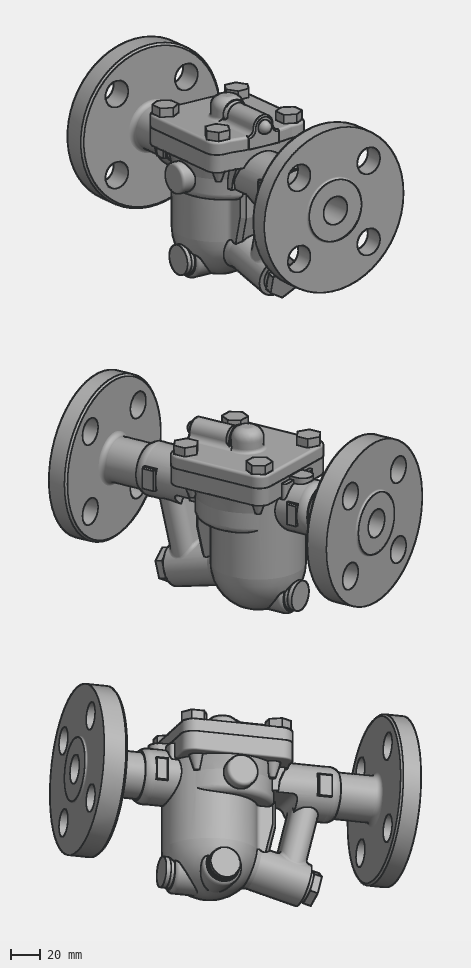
import math

import cadquery as cq

diagonal = math.sqrt(0.5)
selection_margin = 1.0

face_to_face = 230.0
flange_hole_start_angle = 45.0
raised_face_height = 1.7
raised_face_radius = 22.0
raised_face_blend = 1.5
flange_radius = 117.0 / 2
inlet_flange_thickness = 17.0
outlet_flange_thickness = 14.3
flange_edge_chamfer = 1.5
flange_hole_diameter = 19.0
flange_hole_count = 4
bolt_circle_radius = 82.6 / 2
pipe_radius = 16.0
hub_blend = 3.0
hub_length = 4.2
socket_radius = 19.0
socket_mouth = 69.8
socket_round_length = 7.1
socket_lip = 1.2
bore_diameter = 20.0
bore_depth = 45.0

pad_reach = 20.2
pad_height = 15.6
pad_z = 0.5
inlet_pad_x = (-62.7, -54.6)
outlet_pad_x = (52.6, 62.5)
pad_round = 1.0
top_pad_width = 14.0
top_pad_corner_radius = 6.5
top_pad_tip_x = -61.8
top_pad_top_z = 22.3

bowl_x = -18.5
bowl_radius = 32.5
overall_height = 140.58
bowl_dome_z = flange_radius - overall_height + bowl_radius

cover_x = -9.5
cover_length_x = 79.4
cover_length_y = 80.0
cover_corner_radius = 8.8
cover_top_z = 32.0
joint_z = 22.7
body_flange_bottom_z = 9.5
cover_top_round = 2.0
flange_bottom_round = 1.2
bulge_tip_x = 33.0
bulge_half_width = 25.5
joint_step = 0.15

inlet_neck_x = -52.3
inlet_neck_half_width = 17.0
inlet_neck_z = (7.0, 20.0)
inlet_neck_round = 2.0
outlet_neck_half_width = 20.5
outlet_neck_top_x = 29.3
outlet_neck_waist_x = 25.0
outlet_neck_waist_z = 0.0
outlet_neck_foot_x = 23.8

collar_x = -11.5
collar_radius = 37.0
collar_left_x = -37.6
collar_flare_z = -1.0
collar_flare_radius = 39.0
collar_bottom_z = -17.0
collar_bottom_round = 4.8

bolt_pitch_half = 30.0
bolt_across_flats = 15.6
bolt_head_top_z = 38.4
bolt_turn = 30.0
lug_pitch_half = 27.0
lug_top_radius = 5.5
lug_tip_radius = 2.0

cap_radius = 11.2
cap_top_z = 47.6
cap_round_start_z = 39.2
cap_flat_radius = 4.3
cap_foot_blend = 2.4
tunnel_radius = 8.2
tunnel_z = 36.8
tunnel_end_x = 33.0
tunnel_foot_blend = 4.5
tunnel_end_chamfer = 1.2
tunnel_root_radius = 9.6
tunnel_root_x = (-1.0, 2.2)
nub_radius = 5.0
nub_tip_x = 38.3

rib_half_width = 12.5
rib_x = 25.4
rib_break_z = -29.5
rib_edge_chamfer = 3.0
rib_root_fillet = 4.0

strainer_angle = 14.0
strainer_radius = 15.0
strainer_length = 69.0
strainer_root_start = 27.0
strainer_root_end = 32.0
strainer_root_radius = 16.5
plug_neck_radius = 11.0
plug_neck_length = 3.0
plug_head_length = 5.6
plug_across_flats = 21.5
riser_along_strainer = 56.4
riser_length = 58.0
riser_width = 18.8
riser_depth = 25.0
riser_corner_radius = 8.6
riser_blend = 2.5

gap_top_z = -7.4
gap_end_x = 39.0
gap_round = 4.0

test_port_z = -3.4
test_port_radius = 11.0
test_port_end_y = -45.1
test_port_round = 2.2

drain_z = -66.8
drain_boss_radius = 14.0
drain_boss_straight = 24.3
drain_boss_end = 28.4
drain_boss_blend = 2.2
drain_neck_radius = 10.7
drain_neck_end = 31.0
drain_plug_radius = 10.6
drain_plug_end = 34.4


def box_between(x_range, y_range, z_range):
    """Box given by its limits along each axis."""
    size = [high - low for low, high in (x_range, y_range, z_range)]
    corner = (x_range[0], y_range[0], z_range[0])
    return cq.Workplane("XY").box(*size, centered=False).translate(corner)


def hexagon(across_flats, height):
    """Upright hexagonal prism with two corners on the X axis."""
    across_corners = across_flats / math.cos(math.radians(30))
    return cq.Workplane("XY").polygon(6, across_corners).extrude(height)


def cone(base_radius, tip_radius, height):
    """Upright truncated cone standing on the XY plane."""
    return cq.Workplane(obj=cq.Solid.makeCone(base_radius, tip_radius, height))


def pipe_end(direction, flange_thickness):
    """Flange, hub, pipe and socket of one side; direction is -1 (inlet) or +1 (outlet)."""
    face = face_to_face / 2
    front = face - raised_face_height
    back = front - flange_thickness
    round_height = socket_radius - pipe_radius - socket_lip
    profile = (
        cq.Workplane("XY")
        .moveTo(0, 0)
        .lineTo(face, 0)
        .lineTo(face, raised_face_radius)
        .threePointArc(
            (front + raised_face_blend * (1 - diagonal),
             raised_face_radius + raised_face_blend * (1 - diagonal)),
            (front, raised_face_radius + raised_face_blend),
        )
        .lineTo(front, flange_radius)
        .lineTo(back + flange_edge_chamfer, flange_radius)
        .lineTo(back, flange_radius - flange_edge_chamfer)
        .lineTo(back, pipe_radius + hub_blend)
        .threePointArc(
            (back - hub_length * (1 - diagonal), pipe_radius + hub_blend * (1 - diagonal)),
            (back - hub_length, pipe_radius),
        )
        .lineTo(socket_mouth, pipe_radius)
        .lineTo(socket_mouth, pipe_radius + socket_lip)
        .threePointArc(
            (socket_mouth - socket_round_length * (1 - diagonal),
             pipe_radius + socket_lip + round_height * diagonal),
            (socket_mouth - socket_round_length, socket_radius),
        )
        .lineTo(0, socket_radius)
        .close()
    )
    solid = profile.revolve(360, (0, 0, 0), (1, 0, 0))
    holes = (
        cq.Workplane("YZ", origin=(back, 0, 0))
        .polarArray(bolt_circle_radius, flange_hole_start_angle, 360, flange_hole_count)
        .circle(flange_hole_diameter / 2)
        .extrude(face - back)
    )
    solid = solid.cut(holes)
    return solid if direction > 0 else solid.mirror("YZ")


def bores():
    """Blind bores entering both flange faces."""
    end = face_to_face / 2
    inlet = cq.Workplane("YZ", origin=(-end, 0, 0)).circle(bore_diameter / 2).extrude(bore_depth)
    return inlet.union(inlet.mirror("YZ"))


def outlet_gap():
    """Open space between the bowl, the outlet neck and the riser."""
    gap = box_between(
        (bowl_x, gap_end_x),
        (-socket_radius, socket_radius),
        (-2 * socket_radius, gap_top_z),
    )
    return gap.edges("|Y and >X and >Z").fillet(gap_round)


def socket_pads():
    """Rectangular flats on both sides of each socket and the round-ended pad on the inlet."""
    z_range = (pad_z - pad_height / 2, pad_z + pad_height / 2)
    pads = box_between(inlet_pad_x, (-pad_reach, pad_reach), z_range)
    pads = pads.edges("(>X and |Z) or (>Z and |X)").chamfer(pad_round)
    outlet = box_between(outlet_pad_x, (-pad_reach, pad_reach), z_range)
    pads = pads.union(outlet.edges("(<X and |Z) or (>Z and |X)").chamfer(pad_round))
    top_pad = box_between(
        (top_pad_tip_x, bowl_x), (-top_pad_width / 2, top_pad_width / 2), (0, top_pad_top_z)
    )
    return pads.union(top_pad.edges("<X and |Z").fillet(top_pad_corner_radius))


def bowl():
    """Cylindrical body with a hemispherical bottom."""
    cylinder = (
        cq.Workplane("XY", origin=(bowl_x, 0, bowl_dome_z))
        .circle(bowl_radius)
        .extrude(body_flange_bottom_z + flange_bottom_round - bowl_dome_z)
    )
    dome = cq.Workplane("XY").sphere(bowl_radius).translate((bowl_x, 0, bowl_dome_z))
    return cylinder.union(dome)


def ribbed_bowl():
    """Bowl with a block on its outlet side that is drawn in below its break line."""
    taper = (rib_break_z - bowl_dome_z) * math.tan(math.radians(strainer_angle))
    outline = [
        (bowl_x, collar_bottom_z + collar_bottom_round),
        (rib_x, collar_bottom_z + collar_bottom_round),
        (rib_x, rib_break_z),
        (rib_x - taper, bowl_dome_z),
        (bowl_x, bowl_dome_z),
    ]
    rib = cq.Workplane("XZ").polyline(outline).close().extrude(rib_half_width, both=True)
    rib = rib.edges("(|Z and >X) or (not (|X or |Y or |Z))").chamfer(rib_edge_chamfer)
    root_x = bowl_x + math.sqrt(bowl_radius**2 - rib_half_width**2)
    roots = cq.selectors.BoxSelector(
        (root_x - selection_margin, -bowl_radius, bowl_dome_z - selection_margin),
        (root_x + selection_margin, bowl_radius, body_flange_bottom_z),
        boundingbox=True,
    )
    return bowl().union(rib).edges("|Z").edges(roots).fillet(rib_root_fillet)


def collar():
    """Wider ring under the body flange, running out into the bowl on the inlet side."""
    ring = (
        cq.Workplane("XY", origin=(collar_x, 0, collar_bottom_z))
        .circle(collar_radius)
        .extrude(collar_flare_z - collar_bottom_z)
        .faces("<Z")
        .edges()
        .fillet(collar_bottom_round)
    )
    flare_height = body_flange_bottom_z - collar_flare_z
    flare = cone(collar_radius, collar_flare_radius, flare_height)
    ring = ring.union(flare.translate((collar_x, 0, collar_flare_z)))
    reach = 2 * collar_radius
    keep = box_between((collar_left_x, reach), (-reach, reach), (-reach, reach))
    return ring.intersect(keep)


def passage_necks():
    """Inlet block and tapered outlet block just under the body flange."""
    inlet = box_between(
        (inlet_neck_x, bowl_x), (-inlet_neck_half_width, inlet_neck_half_width), inlet_neck_z
    )
    inlet = inlet.faces("<X").edges("not >Z").fillet(inlet_neck_round)
    outline = [
        (collar_x, body_flange_bottom_z),
        (outlet_neck_top_x, body_flange_bottom_z),
        (outlet_neck_waist_x, outlet_neck_waist_z),
        (outlet_neck_foot_x, gap_top_z),
        (collar_x, gap_top_z),
    ]
    outlet = cq.Workplane("XZ").polyline(outline).close().extrude(outlet_neck_half_width, both=True)
    return inlet.union(outlet)


def cover_slab(bottom_z, top_z, inset):
    """Rounded rectangular slab, bowed on its outlet side, with all sides moved in by the inset."""
    slab = (
        cq.Workplane("XY", origin=(cover_x, 0, bottom_z))
        .rect(cover_length_x - 2 * inset, cover_length_y - 2 * inset)
        .extrude(top_z - bottom_z)
        .edges("|Z")
        .fillet(cover_corner_radius)
    )
    side_x = cover_x + cover_length_x / 2 - inset
    bulge = (
        cq.Workplane("XY", origin=(0, 0, bottom_z))
        .moveTo(cover_x, -bulge_half_width)
        .lineTo(side_x, -bulge_half_width)
        .threePointArc((bulge_tip_x - inset, 0), (side_x, bulge_half_width))
        .lineTo(cover_x, bulge_half_width)
        .close()
        .extrude(top_z - bottom_z)
    )
    return slab.union(bulge)


def cover():
    """Body flange and bolted cover, which meet at the joint plane."""
    body_flange = cover_slab(body_flange_bottom_z, joint_z, joint_step)
    body_flange = body_flange.faces("<Z").edges().fillet(flange_bottom_round)
    lid = cover_slab(joint_z, cover_top_z, 0).faces(">Z").edges().fillet(cover_top_round)
    return body_flange.union(lid)


def cover_bolts():
    """Four hexagon heads, alternately turned, and the tapered lugs beneath the flange."""
    head_height = bolt_head_top_z - cover_top_z
    lug_height = body_flange_bottom_z - collar_flare_z
    parts = cq.Workplane("XY")
    for x_side in (-1, 1):
        for y_side in (-1, 1):
            turn = 0 if x_side == y_side else bolt_turn
            head = hexagon(bolt_across_flats, head_height).rotate((0, 0, 0), (0, 0, 1), turn)
            head_place = (cover_x + x_side * bolt_pitch_half, y_side * bolt_pitch_half, cover_top_z)
            parts = parts.add(head.translate(head_place))
            lug = cone(lug_tip_radius, lug_top_radius, lug_height)
            lug_place = (cover_x + x_side * lug_pitch_half, y_side * lug_pitch_half, collar_flare_z)
            parts = parts.add(lug.translate(lug_place))
    return parts


def cover_cap():
    """Round cap on the cover with a rounded top and a blended foot."""
    foot_radius = cap_radius + cap_foot_blend
    round_radius = cap_radius - cap_flat_radius
    return (
        cq.Workplane("XZ")
        .moveTo(0, joint_z)
        .lineTo(foot_radius, joint_z)
        .lineTo(foot_radius, cover_top_z)
        .threePointArc(
            (foot_radius - cap_foot_blend * diagonal,
             cover_top_z + cap_foot_blend * (1 - diagonal)),
            (cap_radius, cover_top_z + cap_foot_blend),
        )
        .lineTo(cap_radius, cap_round_start_z)
        .threePointArc(
            (cap_flat_radius + round_radius * diagonal,
             cap_round_start_z + (cap_top_z - cap_round_start_z) * diagonal),
            (cap_flat_radius, cap_top_z),
        )
        .lineTo(0, cap_top_z)
        .close()
        .revolve(360, (0, 0, 0), (0, 1, 0))
        .translate((cover_x, 0, 0))
    )


def cover_tunnel():
    """Round-topped passage from the cap to the outlet side, closed by a domed nub."""
    foot = tunnel_radius + tunnel_foot_blend
    middle = tunnel_foot_blend * (1 - diagonal)
    foot_top_z = cover_top_z + tunnel_foot_blend
    tunnel = (
        cq.Workplane("YZ", origin=(cover_x, 0, 0))
        .moveTo(-foot, joint_z)
        .lineTo(-foot, cover_top_z)
        .threePointArc((-tunnel_radius - middle, cover_top_z + middle), (-tunnel_radius, foot_top_z))
        .lineTo(-tunnel_radius, tunnel_z)
        .threePointArc((0, tunnel_z + tunnel_radius), (tunnel_radius, tunnel_z))
        .lineTo(tunnel_radius, foot_top_z)
        .threePointArc((tunnel_radius + middle, cover_top_z + middle), (foot, cover_top_z))
        .lineTo(foot, joint_z)
        .close()
        .extrude(tunnel_end_x - cover_x)
    )
    tunnel = tunnel.faces(">X").edges(">Z").chamfer(tunnel_end_chamfer)
    root = cone(tunnel_root_radius, tunnel_radius, tunnel_root_x[1] - tunnel_root_x[0])
    root = root.rotate((0, 0, 0), (0, 1, 0), 90).translate((tunnel_root_x[0], 0, tunnel_z))
    nub = cq.Workplane("XY").sphere(nub_radius).translate((nub_tip_x - nub_radius, 0, tunnel_z))
    return tunnel.union(root).union(nub)


def strainer():
    """Sloping branch with a hexagon plug, and the riser that joins it to the outlet."""
    root_length = strainer_root_end - strainer_root_start
    root = cone(strainer_root_radius, strainer_radius, root_length)
    neck = cq.Workplane("XY").circle(plug_neck_radius).extrude(plug_neck_length)
    head = hexagon(plug_across_flats, plug_head_length).translate((0, 0, plug_neck_length))
    fittings = neck.union(head).translate((0, 0, strainer_length))
    fittings = fittings.add(root.translate((0, 0, strainer_root_start)))
    fittings = fittings.rotate((0, 0, 0), (0, 1, 0), 90)
    branch = cq.Workplane("YZ").circle(strainer_radius).extrude(strainer_length)
    riser = (
        cq.Workplane("XY")
        .rect(riser_width, riser_depth)
        .extrude(riser_length)
        .edges("|Z")
        .fillet(riser_corner_radius)
        .translate((riser_along_strainer, 0, 0))
    )
    joint = cq.selectors.BoxSelector(
        (riser_along_strainer - riser_width, -riser_depth, selection_margin),
        (riser_along_strainer + riser_width, riser_depth, strainer_radius + selection_margin),
        boundingbox=True,
    )
    branch = branch.union(riser).edges(joint).fillet(riser_blend)
    assembly = branch.union(fittings).rotate((0, 0, 0), (0, 1, 0), strainer_angle)
    return assembly.translate((bowl_x, 0, bowl_dome_z))


def test_port():
    """Plugged round port on the front of the collar."""
    return (
        cq.Workplane("XZ", origin=(cover_x, 0, test_port_z))
        .circle(test_port_radius)
        .extrude(-test_port_end_y)
        .faces("<Y")
        .edges()
        .fillet(test_port_round)
    )


def drain_port():
    """Drain boss with its plug, facing -X from the bowl axis."""
    shoulder = drain_boss_radius - drain_boss_blend
    round_length = drain_boss_end - drain_boss_straight
    return (
        cq.Workplane("XY")
        .moveTo(0, 0)
        .lineTo(0, drain_boss_radius)
        .lineTo(-drain_boss_straight, drain_boss_radius)
        .threePointArc(
            (-drain_boss_straight - round_length * diagonal, shoulder + drain_boss_blend * diagonal),
            (-drain_boss_end, shoulder),
        )
        .lineTo(-drain_boss_end, drain_neck_radius)
        .lineTo(-drain_neck_end, drain_neck_radius)
        .lineTo(-drain_neck_end, drain_plug_radius)
        .lineTo(-drain_plug_end, drain_plug_radius)
        .lineTo(-drain_plug_end, 0)
        .close()
        .revolve(360, (0, 0, 0), (1, 0, 0))
    )


def drain_ports():
    """The two identical drain ports, a quarter turn apart."""
    port = drain_port()
    ports = port.union(port.rotate((0, 0, 0), (0, 0, 1), 90))
    return ports.translate((bowl_x, 0, drain_z))


outlet = pipe_end(1, outlet_flange_thickness).cut(outlet_gap())
result = pipe_end(-1, inlet_flange_thickness).union(outlet)
for feature in (
    socket_pads(),
    ribbed_bowl(),
    collar(),
    passage_necks(),
    cover(),
    cover_bolts(),
    cover_cap(),
    cover_tunnel(),
    strainer(),
    test_port(),
    drain_ports(),
):
    result = result.union(feature)
result = result.cut(bores())